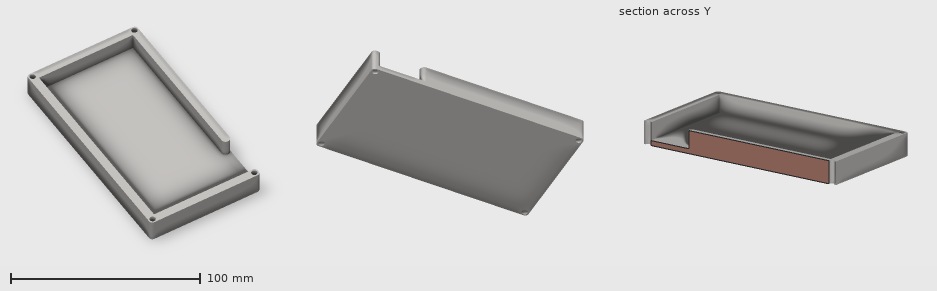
import cadquery as cq

length = 125.3
width = 68.2
height = 13.0
corner_radius = 2.0

wall = 4.9
floor = 3.0

back_wall_length = 96.4
wall_end_radius = 2.4
opening_length = length - wall - back_wall_length

hole_diameter = 3.4
hole_inset = wall / 2


def tray_block():
    """Solid block with rounded vertical corners, standing on Z = 0."""
    block = cq.Workplane("XY").box(length, width, height, centered=(True, True, False))
    return block.edges("|Z").fillet(corner_radius)


def pocket():
    """Rectangular cavity above the floor."""
    return (
        cq.Workplane("XY", origin=(0, 0, floor))
        .rect(length - 2 * wall, width - 2 * wall)
        .extrude(height - floor)
    )


def wall_opening():
    """Gap through the +Y wall above the floor."""
    center_x = -length / 2 + back_wall_length + opening_length / 2
    center_y = width / 2 - wall / 2
    return (
        cq.Workplane("XY", origin=(center_x, center_y, floor))
        .rect(opening_length, wall)
        .extrude(height - floor)
    )


def round_wall_end(body, end_x, end_y, radius):
    """Round one vertical edge where a wall stops at the opening."""
    reach = 0.1
    edge = cq.selectors.BoxSelector(
        (end_x - reach, end_y - reach, floor),
        (end_x + reach, end_y + reach, height),
    )
    return body.edges("|Z").edges(edge).fillet(radius)


def corner_holes():
    """Through holes at the four corners."""
    return (
        cq.Workplane("XY")
        .rect(length - 2 * hole_inset, width - 2 * hole_inset, forConstruction=True)
        .vertices()
        .circle(hole_diameter / 2)
        .extrude(height)
    )


result = tray_block().cut(pocket()).cut(wall_opening())

free_end_x = -length / 2 + back_wall_length
result = round_wall_end(result, free_end_x, width / 2, wall_end_radius)
result = round_wall_end(result, free_end_x, width / 2 - wall, wall_end_radius)
result = round_wall_end(result, length / 2 - wall, width / 2, corner_radius)

result = result.cut(corner_holes())